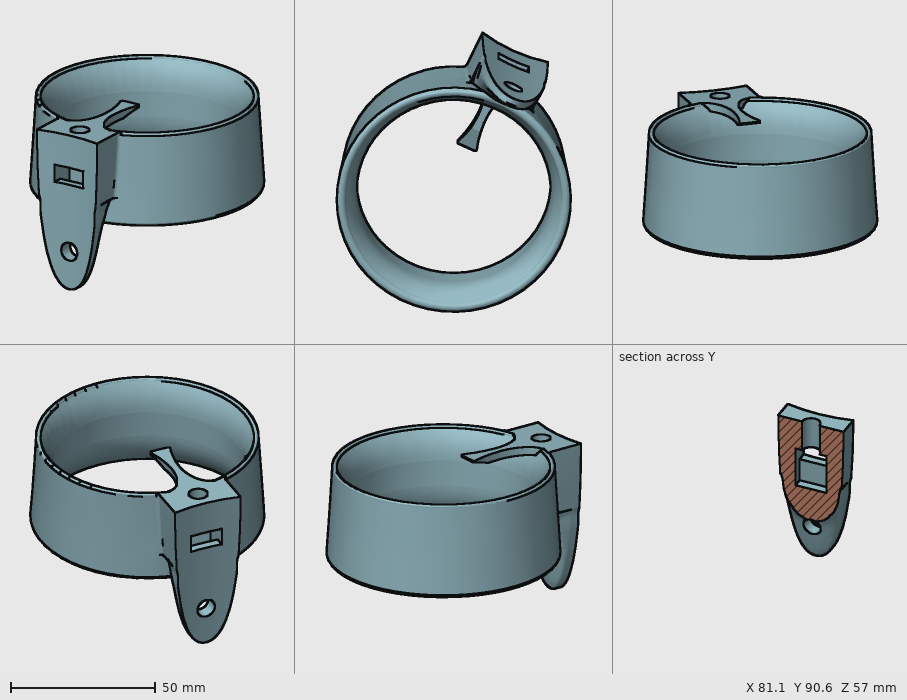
import cadquery as cq
import math


ring_height = 33.9
ring_top_radius = 38.52
ring_bottom_radius = 40.65
throat_radius = 33.5
throat_top_z = -11.9
throat_bottom_z = -21.2
flare_radius = 18.9
top_lip_height = 1.0
bottom_lip_height = 1.3

tab_half_width = 12.5
tab_length = 57.01
tab_roundness = 0.66
tab_front_y = -50.0
front_hollow_depth = 1.4
plate_back_y = -46.3
block_inner_y = -33.0

corner_blend = 1.4
blend_section_count = 5
blend_overlap = 0.2

tongue_start = 0.24
tongue_end = 0.995
tongue_section_count = 12
tongue_tip_ratio = 0.33
tongue_root_ratio = 1.5
tongue_depth_power = 3.5

bolt_hole_diameter = 6.6
bolt_hole_y = -42.05
bolt_hole_radius = bolt_hole_diameter / 2
nut_width = 11.7
nut_face_slope = math.radians(30)
nut_pocket_top_z = -12.0
nut_pocket_bottom_z = -18.3
nut_shoulder_y = -39.6
nut_well_bottom_z = -27.0
tab_hole_z = -43.1

arm_tip_y = -10.2
arm_tip_half_width = 4.0
arm_tip_corner = 0.7
arm_waist_y = -23.4
arm_waist_half_width = 1.55
arm_root_y = -36.2
arm_root_half_width = 8.6
arm_end_y = -39.0
arm_thickness = 3.0
arm_tip_thickness = 0.5
arm_ramp_end_y = -18.0

ELLIPSE_HANDLE = 0.5523
ROUND_BACK_HANDLE = 4 / 3


def outer_radius(z):
    """Radius of the ring's conical outside at height z."""
    return ring_top_radius - (ring_bottom_radius - ring_top_radius) * z / ring_height


def inner_radius(z):
    """Radius of the ring's hourglass inside at height z."""
    beyond_throat = max(z - throat_top_z, throat_bottom_z - z, 0.0)
    return throat_radius + flare_radius - math.sqrt(flare_radius**2 - beyond_throat**2)


def tongue_outline_point(t):
    """Half width and height of the tongue outline (cubic Bezier) at parameter t from 0 to 1."""
    s = 1.0 - t
    half_width = tab_half_width * (s**3 + 3 * s**2 * t + 3 * s * t**2 * tab_roundness)
    depth = tab_length * (3 * s**2 * t * tab_roundness + 3 * s * t**2 + t**3)
    return half_width, -depth


def bore_side(profile, bottom_z, top_z):
    """Add the hourglass curve to a radial profile, going up from bottom_z to top_z."""
    middle_low = (bottom_z + throat_bottom_z) / 2
    middle_high = (top_z + throat_top_z) / 2
    return (
        profile.threePointArc((inner_radius(middle_low), middle_low), (throat_radius, throat_bottom_z))
        .lineTo(throat_radius, throat_top_z)
        .threePointArc((inner_radius(middle_high), middle_high), (inner_radius(top_z), top_z))
    )


def make_ring():
    top_z = -top_lip_height
    bottom_z = -ring_height + bottom_lip_height
    top_crown = (outer_radius(top_z) + inner_radius(top_z)) / 2
    bottom_crown = (outer_radius(bottom_z) + inner_radius(bottom_z)) / 2
    profile = (
        cq.Workplane("XZ")
        .moveTo(outer_radius(top_z), top_z)
        .lineTo(outer_radius(bottom_z), bottom_z)
        .threePointArc((bottom_crown, -ring_height), (inner_radius(bottom_z), bottom_z))
    )
    profile = bore_side(profile, bottom_z, top_z)
    profile = profile.threePointArc((top_crown, 0), (outer_radius(top_z), top_z)).close()
    return profile.revolve(360, (0, 0, 0), (0, 1, 0))


def make_bore():
    """Solid that fills the inside of the ring."""
    profile = cq.Workplane("XZ").moveTo(0, -ring_height).lineTo(inner_radius(-ring_height), -ring_height)
    profile = bore_side(profile, -ring_height, 0)
    return profile.lineTo(0, 0).close().revolve(360, (0, 0, 0), (0, 1, 0))


def make_block():
    """Upper part of the tab, carried along Y from the tab front into the ring wall."""
    bottom_half_width, bottom_z = tongue_outline_point(tongue_start)
    middle_half_width, middle_z = tongue_outline_point(tongue_start / 2)
    return (
        cq.Workplane("XZ", origin=(0, block_inner_y, 0))
        .moveTo(-tab_half_width, 0)
        .lineTo(tab_half_width, 0)
        .threePointArc((middle_half_width, middle_z), (bottom_half_width, bottom_z))
        .lineTo(-bottom_half_width, bottom_z)
        .threePointArc((-middle_half_width, middle_z), (-tab_half_width, 0))
        .close()
        .extrude(block_inner_y - tab_front_y)
    )


def make_front_hollow():
    """Upright cylinder that hollows the front face of the tab."""
    radius = (tab_half_width**2 + front_hollow_depth**2) / (2 * front_hollow_depth)
    center_y = tab_front_y + front_hollow_depth - radius
    return cq.Workplane("XY").center(0, center_y).circle(radius).extrude(-tab_length)


def make_tongue():
    """Loft of rounded sections from the block down to the tongue tip."""
    start_z = tongue_outline_point(tongue_start)[1]
    end_z = tongue_outline_point(tongue_end)[1]
    sections = []
    for i in range(tongue_section_count):
        t = tongue_start + (tongue_end - tongue_start) * i / (tongue_section_count - 1)
        half_width, z = tongue_outline_point(t)
        rise = (z - end_z) / (start_z - end_z)
        added_ratio = (tongue_root_ratio - tongue_tip_ratio) * rise**tongue_depth_power
        depth = half_width * (tongue_tip_ratio + added_ratio)
        handle_y = plate_back_y + depth * ROUND_BACK_HANDLE
        section = (
            cq.Workplane("XY", origin=(0, 0, z))
            .moveTo(-half_width, tab_front_y)
            .lineTo(-half_width, plate_back_y)
            .bezier(
                [
                    (-half_width, plate_back_y),
                    (-half_width, handle_y),
                    (half_width, handle_y),
                    (half_width, plate_back_y),
                ]
            )
            .lineTo(half_width, tab_front_y)
            .close()
        )
        sections.append(section.wires().val())
    return cq.Workplane(cq.Solid.makeLoft(sections))


def make_tab():
    return make_block().union(make_tongue()).cut(make_front_hollow())


def make_arm():
    """Thin pointer with a waist, pointing to the ring axis; its underside rises towards the tip."""
    waist_x = arm_waist_half_width
    flare_width = arm_tip_half_width - waist_x
    flare_length = arm_tip_y - arm_waist_y
    flank_radius = (flare_width**2 + flare_length**2) / (2 * flare_width)
    middle_y = (arm_tip_y + arm_waist_y) / 2
    middle_x = waist_x + flank_radius - math.sqrt(flank_radius**2 - (flare_length / 2) ** 2)
    root_x = arm_root_half_width
    handle_y = arm_waist_y + ELLIPSE_HANDLE * (arm_root_y - arm_waist_y)
    handle_x = root_x + ELLIPSE_HANDLE * (waist_x - root_x)
    root_curve = [
        (waist_x, arm_waist_y),
        (waist_x, handle_y),
        (handle_x, arm_root_y),
        (root_x, arm_root_y),
    ]
    mirrored_root_curve = [(-x, y) for x, y in reversed(root_curve)]
    plan = (
        cq.Workplane("XY")
        .moveTo(-arm_tip_half_width, arm_tip_y)
        .lineTo(arm_tip_half_width, arm_tip_y)
        .threePointArc((middle_x, middle_y), (waist_x, arm_waist_y))
        .bezier(root_curve)
        .lineTo(root_x, arm_end_y)
        .lineTo(-root_x, arm_end_y)
        .lineTo(-root_x, arm_root_y)
        .bezier(mirrored_root_curve)
        .threePointArc((-middle_x, middle_y), (-arm_tip_half_width, arm_tip_y))
        .close()
        .extrude(-arm_thickness)
    )
    plan = plan.edges("|Z and >Y").fillet(arm_tip_corner)
    profile = (
        cq.Workplane("YZ")
        .moveTo(arm_tip_y, 0)
        .lineTo(arm_tip_y, -arm_tip_thickness)
        .lineTo(arm_ramp_end_y, -arm_thickness)
        .lineTo(arm_end_y, -arm_thickness)
        .lineTo(arm_end_y, 0)
        .close()
        .extrude(arm_root_half_width, both=True)
    )
    return plan.intersect(profile)


def make_bolt_hole():
    return (
        cq.Workplane("XY")
        .center(0, bolt_hole_y)
        .circle(bolt_hole_radius)
        .extrude(nut_pocket_bottom_z)
    )


def make_pointed_pocket(front_y, top_z, bottom_z):
    """Slot from front_y inwards that ends in two faces of a hexagon, their corner towards the ring."""
    half_width = nut_width / 2
    corner_y = nut_shoulder_y + half_width * math.tan(nut_face_slope)
    return (
        cq.Workplane("XY", origin=(0, 0, bottom_z))
        .moveTo(-half_width, front_y)
        .lineTo(half_width, front_y)
        .lineTo(half_width, nut_shoulder_y)
        .lineTo(0, corner_y)
        .lineTo(-half_width, nut_shoulder_y)
        .close()
        .extrude(top_z - bottom_z)
    )


def make_nut_pocket():
    """Slot through the front face, with a well that drops from the front edge of the bolt hole inwards."""
    slot = make_pointed_pocket(tab_front_y, nut_pocket_top_z, nut_pocket_bottom_z)
    well = make_pointed_pocket(bolt_hole_y - bolt_hole_radius, nut_pocket_top_z, nut_well_bottom_z)
    return slot.union(well)


def make_tab_hole():
    return (
        cq.Workplane("XZ", origin=(0, 0, tab_hole_z))
        .circle(bolt_hole_radius)
        .extrude(-tab_front_y)
    )


def make_corner_blend(side):
    """Hollow fillet between one side of the block (side is 1 or -1) and the outside of the ring."""
    sections = []
    for i in range(blend_section_count):
        half_width, z = tongue_outline_point(tongue_start * i / (blend_section_count - 1))
        radius = outer_radius(z)
        center_x = half_width + corner_blend
        center_y = -math.sqrt((radius + corner_blend) ** 2 - center_x**2)
        ring_share = radius / (radius + corner_blend)
        ring_x = center_x * ring_share
        ring_y = center_y * ring_share
        middle_angle = (math.pi + math.atan2(-center_y, -center_x)) / 2
        middle_x = center_x + corner_blend * math.cos(middle_angle)
        middle_y = center_y + corner_blend * math.sin(middle_angle)
        section = (
            cq.Workplane("XY", origin=(0, 0, z))
            .moveTo(side * half_width, center_y)
            .threePointArc((side * middle_x, middle_y), (side * ring_x, ring_y))
            .lineTo(side * (ring_x - blend_overlap), ring_y + blend_overlap)
            .lineTo(side * (half_width - blend_overlap), ring_y + blend_overlap)
            .lineTo(side * (half_width - blend_overlap), center_y)
            .close()
        )
        sections.append(section.wires().val())
    return cq.Workplane(cq.Solid.makeLoft(sections, True))


result = make_ring().union(make_tab().cut(make_bore()))
for block_side in (-1, 1):
    result = result.union(make_corner_blend(block_side))
result = result.union(make_arm())
result = result.cut(make_bolt_hole()).cut(make_nut_pocket()).cut(make_tab_hole())